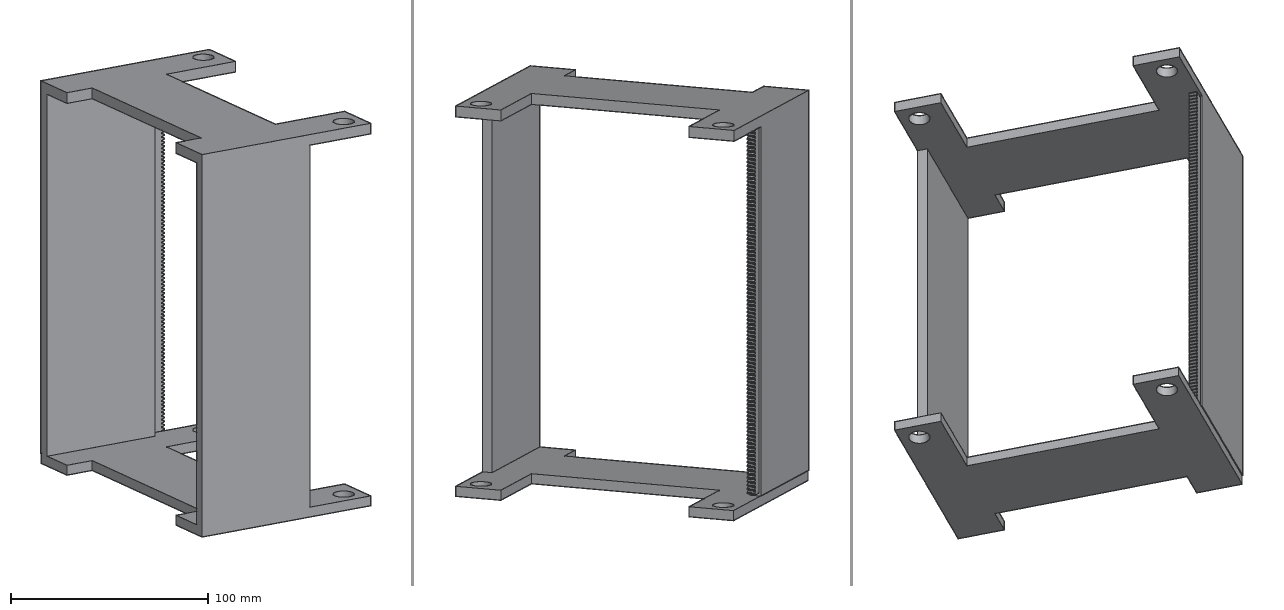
import cadquery as cq
import math

width = 152.5
depth = 101.5
height = 203.0
left = -width / 2
right = width / 2

top_thickness = 5.7
bottom_thickness = 5.3
arm_width = 24.8
front_notch_depth = 15.2
rear_notch_depth = 41.6
hole_diameter = 10.8
hole_inset = 10.0
bottom_plate_setback = 0.5

panel_depth = 65.0
left_panel_thickness = 6.0
right_panel_thickness = 5.3

rack_side_inset = 1.0
rack_width = left_panel_thickness - 2 * rack_side_inset
rack_length = 190.0
rack_bottom = 7.0
rack_top = rack_bottom + rack_length
rack_base_depth = 4.9
tooth_count = 95
tooth_pitch = rack_length / tooth_count
tooth_height = 1.5
flank_angle = 20.0


def block(x_min, x_max, y_min, y_max, z_min, z_max):
    """Rectangular block between the given limits."""
    size = (x_max - x_min, y_max - y_min, z_max - z_min)
    return cq.Workplane("XY").box(*size, centered=False).translate((x_min, y_min, z_min))


def make_end_plate(x_min, z_min, z_max):
    """H-shaped plate with a mounting hole at the rear end of each arm."""
    notch_left = left + arm_width
    notch_right = right - arm_width
    plate = block(x_min, right, 0, depth, z_min, z_max)
    plate = plate.cut(block(notch_left, notch_right, 0, front_notch_depth, z_min, z_max))
    plate = plate.cut(block(notch_left, notch_right, depth - rear_notch_depth, depth, z_min, z_max))

    hole_y = depth - hole_inset
    holes = (
        cq.Workplane("XY", origin=(0, 0, z_min))
        .pushPoints([(left + hole_inset, hole_y), (right - hole_inset, hole_y)])
        .circle(hole_diameter / 2)
        .extrude(z_max - z_min)
    )
    return plate.cut(holes)


def make_side_panel(x_min, x_max):
    """Flat wall that fills the height between the end plates."""
    return block(x_min, x_max, 0, panel_depth, bottom_thickness, height - top_thickness)


def make_frame():
    """Two end plates joined by two side panels."""
    top_plate = make_end_plate(left, height - top_thickness, height)
    bottom_plate = make_end_plate(left + bottom_plate_setback, 0, bottom_thickness)
    left_panel = make_side_panel(left, left + left_panel_thickness)
    right_panel = make_side_panel(right - right_panel_thickness, right)
    return top_plate.union(left_panel).union(right_panel).union(bottom_plate)


def make_rack():
    """Straight bar with trapezoidal teeth along its rear edge."""
    root_y = panel_depth + rack_base_depth
    tip_y = root_y + tooth_height
    flank_run = tooth_height * math.tan(math.radians(flank_angle))
    half_root = (tooth_pitch / 2 + flank_run) / 2
    half_tip = (tooth_pitch / 2 - flank_run) / 2

    outline = [(panel_depth, rack_bottom), (root_y, rack_bottom)]
    for index in range(tooth_count):
        tooth_z = rack_bottom + (index + 0.5) * tooth_pitch
        outline.append((root_y, tooth_z - half_root))
        outline.append((tip_y, tooth_z - half_tip))
        outline.append((tip_y, tooth_z + half_tip))
        outline.append((root_y, tooth_z + half_root))
    outline.append((root_y, rack_top))
    outline.append((panel_depth, rack_top))

    rack_plane = cq.Workplane("YZ", origin=(left + rack_side_inset, 0, 0))
    return rack_plane.polyline(outline).close().extrude(rack_width)


frame = make_frame()
rack = make_rack()

result = cq.Compound.makeCompound([frame.solids().val(), rack.val()])